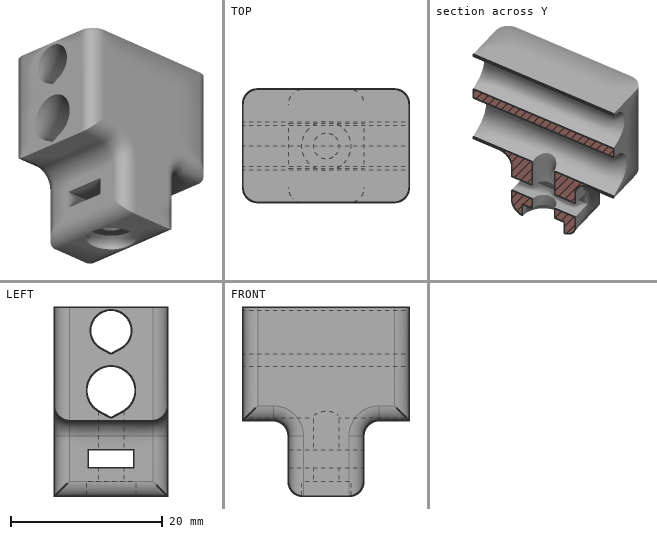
import cadquery as cq
import math

HEAD_WIDTH = 22.0
DEPTH = 15.0
HEIGHT = 25.0
STEM_WIDTH = 10.0
STEM_HEIGHT = 10.0
ROUNDING = 2.0

UPPER_HOLE_DIAMETER = 5.4
UPPER_HOLE_Z = 21.9
LOWER_HOLE_DIAMETER = 6.4
LOWER_HOLE_Z = 14.0
POINT_SLOPE = math.radians(28)

SLOT_WIDTH = 6.0
SLOT_HEIGHT = 2.35
SLOT_BOTTOM_Z = 3.8

SCREW_HOLE_DIAMETER = 3.4
SCREW_HEAD_DIAMETER = 6.5
SCREW_HEAD_DEPTH = 2.0


def block(width, bottom, top):
    """Full-depth block centred on X and Y between two heights."""
    return cq.Workplane("XY").workplane(offset=bottom).rect(width, DEPTH).extrude(top - bottom)


def rounded_body():
    """T-shaped body with rounded inner corners, side edges and stem bottom."""
    body = block(HEAD_WIDTH, STEM_HEIGHT, HEIGHT).union(block(STEM_WIDTH, 0, STEM_HEIGHT))

    half_stem = STEM_WIDTH / 2
    for x in (-half_stem, half_stem):
        corner = cq.selectors.NearestToPointSelector((x, 0, STEM_HEIGHT))
        body = body.edges("|Y").edges(corner).fillet(ROUNDING)

    body = body.faces("<Y or >Y").edges("not(<Z or >Z)").fillet(ROUNDING)

    envelope = block(STEM_WIDTH, 0, STEM_HEIGHT).faces("<Z").edges("|Y").fillet(ROUNDING)
    envelope = envelope.union(block(HEAD_WIDTH, 2 * ROUNDING, HEIGHT))
    return body.intersect(envelope)


def teardrop_hole(diameter, z):
    """Cutter along X: a circle whose lower flanks run tangentially to a point."""
    radius = diameter / 2
    tangent_y = radius * math.sin(POINT_SLOPE)
    tangent_z = z - radius * math.cos(POINT_SLOPE)
    tip_z = z - radius / math.cos(POINT_SLOPE)
    return (
        cq.Workplane("YZ")
        .moveTo(0, tip_z)
        .lineTo(tangent_y, tangent_z)
        .threePointArc((0, z + radius), (-tangent_y, tangent_z))
        .close()
        .extrude(HEAD_WIDTH / 2, both=True)
    )


def slot():
    """Cutter for the rectangular slot along X."""
    return cq.Workplane("XY").box(STEM_WIDTH, SLOT_WIDTH, SLOT_HEIGHT).translate(
        (0, 0, SLOT_BOTTOM_Z + SLOT_HEIGHT / 2)
    )


def screw_hole():
    """Cutter for the counterbored screw hole."""
    shank = cq.Workplane("XY").circle(SCREW_HOLE_DIAMETER / 2).extrude(LOWER_HOLE_Z)
    head = cq.Workplane("XY").circle(SCREW_HEAD_DIAMETER / 2).extrude(SCREW_HEAD_DEPTH)
    return shank.union(head)


result = (
    rounded_body()
    .cut(teardrop_hole(UPPER_HOLE_DIAMETER, UPPER_HOLE_Z))
    .cut(teardrop_hole(LOWER_HOLE_DIAMETER, LOWER_HOLE_Z))
    .cut(slot())
    .cut(screw_hole())
)